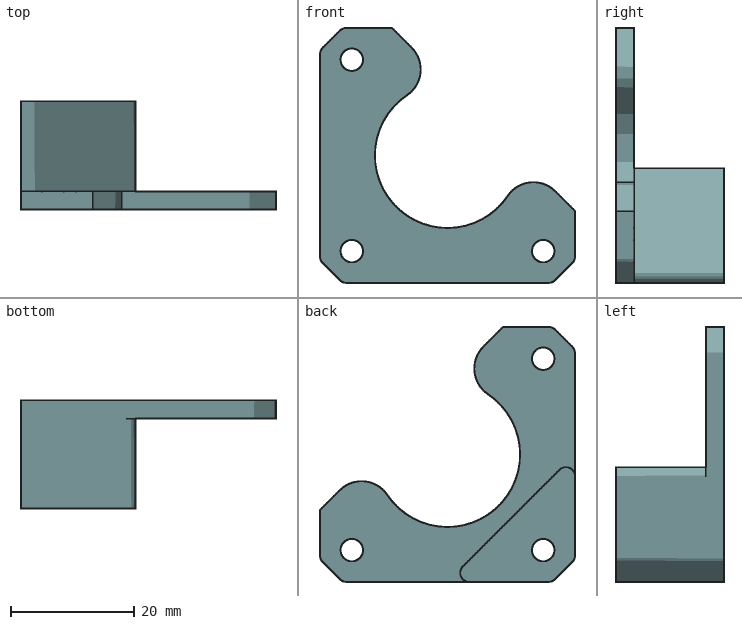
import cadquery as cq
import math

plate_size = 41.4
plate_thickness = 3.0
total_depth = 17.6
corner_chamfer = 3.7
corner_radius = 1.5
hole_diameter = 3.6
hole_inset = 5.18
bore_radius = 11.75
arm_width = 11.67
lobe_radius = 5.0
block_leg = 18.65

middle = plate_size / 2
diagonal = math.sqrt(0.5)

edge_distance = arm_width * diagonal
lobe_outward = edge_distance - lobe_radius
lobe_sideways = math.sqrt((bore_radius + lobe_radius) ** 2 - lobe_outward**2)
lobe_x = middle + (lobe_outward + lobe_sideways) * diagonal
lobe_z = middle + (lobe_outward - lobe_sideways) * diagonal

edge_end = (lobe_x + lobe_radius * diagonal, lobe_z + lobe_radius * diagonal)
lobe_top = (lobe_x, lobe_z + lobe_radius)
bore_share = bore_radius / (bore_radius + lobe_radius)
bore_start = (middle + (lobe_x - middle) * bore_share, middle + (lobe_z - middle) * bore_share)
bore_low = (middle - bore_radius * diagonal, middle - bore_radius * diagonal)


def mirrored(point):
    """Reflect an (x, z) point about the x = z diagonal."""
    return point[1], point[0]


def sketch_plane():
    """XZ sketch plane whose positive extrusion runs toward +Y."""
    return cq.Workplane(cq.Plane(origin=(0, 0, 0), xDir=(1, 0, 0), normal=(0, -1, 0)))


def make_plate():
    """L-shaped plate with three rounded, chamfered corners and a round recess."""
    far = plate_size - corner_chamfer
    plate = (
        sketch_plane()
        .moveTo(0, corner_chamfer)
        .lineTo(corner_chamfer, 0)
        .lineTo(far, 0)
        .lineTo(plate_size, corner_chamfer)
        .lineTo(plate_size, arm_width)
        .lineTo(*edge_end)
        .threePointArc(lobe_top, bore_start)
        .threePointArc(bore_low, mirrored(bore_start))
        .threePointArc(mirrored(lobe_top), mirrored(edge_end))
        .lineTo(arm_width, plate_size)
        .lineTo(corner_chamfer, plate_size)
        .lineTo(0, far)
        .close()
        .extrude(-plate_thickness)
    )
    chamfer_ends = [
        (0, corner_chamfer),
        (corner_chamfer, 0),
        (far, 0),
        (plate_size, corner_chamfer),
        (corner_chamfer, plate_size),
        (0, far),
    ]
    for x, z in chamfer_ends:
        edge_point = (x, plate_thickness / 2, z)
        plate = plate.edges(cq.NearestToPointSelector(edge_point)).fillet(corner_radius)
    return plate


def make_block():
    """Triangular block filling the corner, with its 45 degree tips rounded."""
    tip_overrun = corner_radius * (math.tan(math.radians(67.5)) - 1)
    sharp_leg = block_leg + tip_overrun
    return (
        sketch_plane()
        .moveTo(0, corner_chamfer)
        .lineTo(corner_chamfer, 0)
        .lineTo(sharp_leg, 0)
        .lineTo(0, sharp_leg)
        .close()
        .extrude(-total_depth)
        .edges("|Y")
        .fillet(corner_radius)
    )


def make_holes():
    """Screw holes at the three plate corners, through the full depth."""
    far = plate_size - hole_inset
    centres = [(hole_inset, hole_inset), (far, hole_inset), (hole_inset, far)]
    return sketch_plane().pushPoints(centres).circle(hole_diameter / 2).extrude(-total_depth)


result = make_plate().union(make_block()).cut(make_holes())